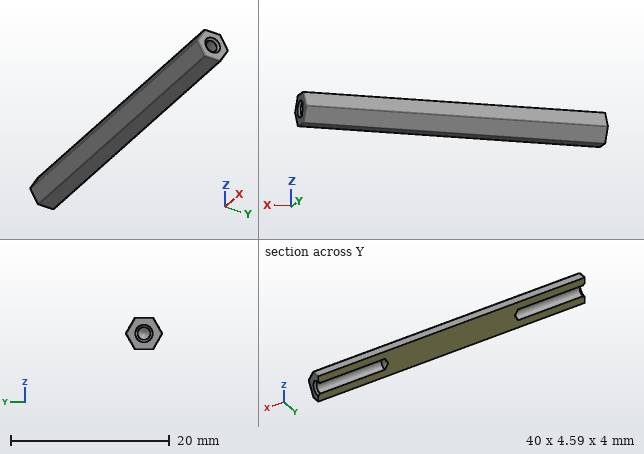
import cadquery as cq
import math

length = 40.0
across_flats = 4.0
across_corners = across_flats / math.cos(math.radians(30))

edge_fillet = 0.1

hole_diameter = 1.6
hole_depth = 10.0
drill_point_angle = 118.0
countersink_diameter = 2.2
countersink_angle = 90.0


def cone_height(radial_change, half_angle):
    """Axial length of a cone whose side leans half_angle degrees from the axis."""
    return radial_change / math.tan(math.radians(half_angle))


def hexagonal_bar():
    """Bar with flats on top and bottom, corners toward +Y and -Y, and all edges rounded."""
    return cq.Workplane("YZ").polygon(6, across_corners).extrude(length).edges().fillet(edge_fillet)


def drilled_hole():
    """Countersunk blind hole with a drill point, entering at X = 0."""
    hole_radius = hole_diameter / 2
    mouth_radius = countersink_diameter / 2
    countersink_depth = cone_height(mouth_radius - hole_radius, countersink_angle / 2)
    point_depth = cone_height(hole_radius, drill_point_angle / 2)
    return (
        cq.Workplane("XY")
        .moveTo(0, 0)
        .lineTo(0, mouth_radius)
        .lineTo(countersink_depth, hole_radius)
        .lineTo(hole_depth, hole_radius)
        .lineTo(hole_depth + point_depth, 0)
        .close()
        .revolve(360, (0, 0, 0), (1, 0, 0))
    )


near_hole = drilled_hole()
far_hole = near_hole.mirror("YZ", (length / 2, 0, 0))

result = hexagonal_bar()
for hole in (near_hole, far_hole):
    result = result.cut(hole)